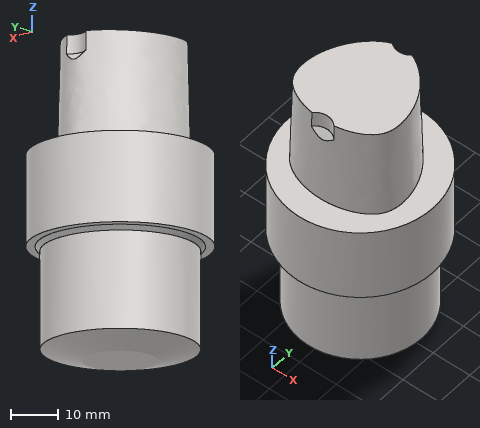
import cadquery as cq
import math

collar_radius = 20.0
collar_length = 20.0
body_radius = 17.0
total_body_length = 45.0
relief_size = 1.0
nose_radius = 8.0
nose_height = 2.5

shank_length = 24.0
shank_base_radius = 14.1
shank_taper = 1 / 40
lobe_height = 0.95
outline_points = 72
shank_top_radius = shank_base_radius - shank_taper * shank_length
lobe_end = shank_top_radius + lobe_height
flat_end = shank_top_radius - lobe_height

notch_radius = 4.0
notch_depth = 4.2
notch_bite = 1.57
notch_tip_height = notch_radius
notch_overhang = notch_radius - notch_bite


def lobed_outline_point(mean_radius, angle):
    """Point of the constant-width outline whose normal points along angle."""
    phase = 3 * (angle - math.pi / 2)
    reach = mean_radius + lobe_height * math.cos(phase)
    slide = -3 * lobe_height * math.sin(phase)
    x = reach * math.cos(angle) - slide * math.sin(angle)
    y = reach * math.sin(angle) + slide * math.cos(angle)
    return (x, y)


def lobed_outline(mean_radius):
    step = 2 * math.pi / outline_points
    return [lobed_outline_point(mean_radius, i * step) for i in range(outline_points)]


def revolve_about_z(profile):
    return cq.Workplane("XZ").polyline(profile).close().revolve(360, (0, 0), (0, 1))


def make_body():
    collar_bottom = -collar_length
    profile = [
        (0, 0),
        (collar_radius, 0),
        (collar_radius, collar_bottom),
        (body_radius + relief_size, collar_bottom),
        (body_radius, collar_bottom - relief_size),
        (body_radius, nose_height - total_body_length),
        (nose_radius, -total_body_length),
        (0, -total_body_length),
    ]
    return revolve_about_z(profile)


def make_shank():
    base = cq.Workplane("XY").spline(lobed_outline(shank_base_radius), periodic=True).close()
    top_plane = base.workplane(offset=shank_length)
    top = top_plane.spline(lobed_outline(shank_top_radius), periodic=True).close()
    return top.loft(ruled=True)


def make_notch_cutter(y_center):
    """Drill shape: a cylinder with a conical tip, open at the shank top."""
    straight_end = shank_length - notch_depth
    profile = [
        (0, shank_length),
        (notch_radius, shank_length),
        (notch_radius, straight_end),
        (0, straight_end - notch_tip_height),
    ]
    drill = revolve_about_z(profile)
    return drill.translate((0, y_center, 0))


result = make_body().union(make_shank())
for notch_center in (lobe_end + notch_overhang, -flat_end - notch_overhang):
    result = result.cut(make_notch_cutter(notch_center))